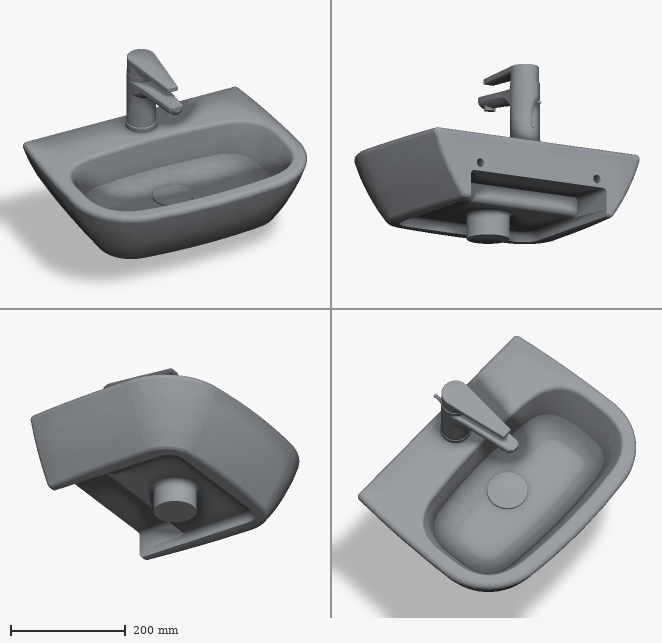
import cadquery as cq
import math


basin_height = 119.0
front_x = 341.0
half_width = 226.0
side_end_x = 216.0
side_radius = 1919.0
corner_radius = 118.3
middle_inset = 23.0
bottom_inset = 60.3
shell_round = 8.0

floor_z = -82.0
bowl_middle_z = -58.0
bowl_blend_z = -72.5
rear_sag = 7.5
front_sag = 6.5
lip_round = 6.5

hollow_half_width = 139.3
hollow_front_x = 254.5
hollow_ceiling_z = -101.5
hollow_corner_radius = 29.5
notch_depth = 89.3
notch_top_z = -69.0
notch_corner_round = 6.5
notch_draft = 3.0
notch_edge_round = 10.5
outlet_diameter = 75.0
outlet_end_z = -145.0
outlet_round = 7.0
bolt_diameter = 15.0
bolt_depth = 22.5
bolt_y = 120.0
bolt_z = -55.0

drain_x = 165.5
drain_ring_diameter = 71.5
drain_ring_height = 4.0
drain_ring_round = 2.0
plug_diameter = 60.0
plug_crown = 2.2

tap_x = 45.5
base_diameter = 55.0
base_height = 9.5
base_chamfer = 1.5
column_diameter = 52.0
column_top_z = 110.2
cap_diameter = 50.0
tap_top_z = 140.0
lever_thickness = 10.5
lever_tip_x = 165.0
lever_tip_half_width = 10.3
lever_round = 2.5
spout_edge = 2.2
aerator_x = 160.5
aerator_diameter = 20.0
aerator_end_z = 83.0
aerator_length = 10.0
aerator_tilt = 4.7
pull_tip_x = -3.5
pull_tip_z = 68.0
pull_end_z = 27.0
pull_width = 6.0
pull_thickness = 2.5
pull_knob_diameter = 5.5


def basin_outline(z, inset):
    """D-shaped outline at height z: the rim outline moved inward, closed along the wall face."""
    corner_y = half_width - corner_radius
    reach = front_x - side_end_x
    front_radius = (reach**2 + corner_y**2 - corner_radius**2) / (2 * (reach - corner_radius))
    front_center_x = front_x - front_radius
    corner_end = math.atan2(corner_y, side_end_x - front_center_x)
    corner_middle = (corner_end + math.pi / 2) / 2

    side_r = side_radius - inset
    corner_r = corner_radius - inset
    side_center_y = half_width - side_radius

    def side_y(x):
        return side_center_y + math.sqrt(side_r**2 - (side_end_x - x) ** 2)

    def corner_point(angle):
        return side_end_x + corner_r * math.cos(angle), corner_y + corner_r * math.sin(angle)

    rear = (0, side_y(0))
    side_middle = (side_end_x / 2, side_y(side_end_x / 2))
    side_end = (side_end_x, half_width - inset)
    bend = corner_point(corner_middle)
    front_start = corner_point(corner_end)

    def mirrored(point):
        return point[0], -point[1]

    return (
        cq.Workplane("XY", origin=(0, 0, z))
        .moveTo(*rear)
        .threePointArc(side_middle, side_end)
        .threePointArc(bend, front_start)
        .threePointArc((front_x - inset, 0), mirrored(front_start))
        .threePointArc(mirrored(bend), mirrored(side_end))
        .threePointArc(mirrored(side_middle), mirrored(rear))
        .close()
        .wires()
        .val()
    )


def make_shell():
    sections = [
        basin_outline(0, 0),
        basin_outline(-basin_height / 2, middle_inset),
        basin_outline(-basin_height, bottom_inset),
    ]
    shell = cq.Workplane(cq.Solid.makeLoft(sections))
    return shell.edges("<X or >Z or <Z").fillet(shell_round)


def bowl_section(z, rear_x, front_x, half_width, rear_y, front_y, flat_start_x, flat_end_x):
    """Closed section of the bowl: bulged rear and front edges, short flat ends, blended corners.

    rear_y and front_y are where the bulged edges run into the corners.
    """
    rear_slope = math.tan(2 * math.atan(rear_sag / rear_y))
    front_slope = math.tan(2 * math.atan(front_sag / front_y))
    rear_corner_x = rear_x + rear_sag
    front_corner_x = front_x - front_sag
    return (
        cq.Workplane("XY", origin=(0, 0, z))
        .moveTo(rear_corner_x, -rear_y)
        .threePointArc((rear_x, 0), (rear_corner_x, rear_y))
        .spline([(flat_start_x, half_width)], tangents=[(rear_slope, 1), (1, 0)], includeCurrent=True)
        .lineTo(flat_end_x, half_width)
        .spline([(front_corner_x, front_y)], tangents=[(1, 0), (front_slope, -1)], includeCurrent=True)
        .threePointArc((front_x, 0), (front_corner_x, -front_y))
        .spline([(flat_end_x, -half_width)], tangents=[(-front_slope, -1), (-1, 0)], includeCurrent=True)
        .lineTo(flat_start_x, -half_width)
        .spline([(rear_corner_x, -rear_y)], tangents=[(-1, 0), (-rear_slope, 1)], includeCurrent=True)
        .close()
        .wires()
        .val()
    )


def make_bowl():
    rim = bowl_section(0, 96.0, 311.0, 196.5, 126.0, 114.3, 179.5, 214.0)
    middle = bowl_section(bowl_middle_z, 102.5, 280.0, 166.0, 115.5, 112.5, 186.0, 211.0)
    blend = bowl_section(bowl_blend_z, 116.5, 265.0, 152.5, 114.0, 110.5, 186.0, 211.0)
    floor = bowl_section(floor_z, 141.0, 245.5, 135.0, 111.0, 108.5, 186.0, 211.0)
    walls = cq.Workplane(cq.Solid.makeLoft([rim, middle], True))
    bottom = cq.Workplane(cq.Solid.makeLoft([middle, blend, floor]))
    return walls.union(bottom)


def make_underside_hollow():
    """Shallow hollow under the bowl, joined to a taller notch that opens through the wall face."""
    ceiling = (
        cq.Workplane("XY", origin=(0, 0, hollow_ceiling_z))
        .rect(2 * hollow_front_x, 2 * hollow_half_width)
        .extrude(-basin_height - hollow_ceiling_z)
        .edges("|Z and >X")
        .fillet(hollow_corner_radius)
        .faces(">Z")
        .edges(">X")
        .fillet(shell_round)
    )
    notch = (
        cq.Workplane("XY", origin=(0, 0, notch_top_z))
        .polyline([
            (0, hollow_half_width),
            (notch_depth, hollow_half_width - notch_draft),
            (notch_depth, -hollow_half_width + notch_draft),
            (0, -hollow_half_width),
        ])
        .close()
        .extrude(-basin_height - notch_top_z)
        .faces(">Z")
        .edges(">Y or <Y")
        .fillet(notch_corner_round)
    )
    return ceiling.union(notch)


def make_basin():
    basin = make_shell().cut(make_bowl())
    rim_face = basin.faces(">Z").val()
    basin = basin.newObject(rim_face.innerWires()).edges().fillet(lip_round)
    basin = basin.cut(make_underside_hollow())
    inner_edge = cq.selectors.NearestToPointSelector((notch_depth, 0, hollow_ceiling_z))
    basin = basin.edges(inner_edge).fillet(notch_edge_round)
    outlet = (
        cq.Workplane("XY", origin=(drain_x, 0, outlet_end_z))
        .circle(outlet_diameter / 2)
        .extrude(hollow_ceiling_z - outlet_end_z)
    )
    basin = basin.union(outlet)
    outlet_root = cq.selectors.NearestToPointSelector((drain_x, 0, hollow_ceiling_z))
    basin = basin.edges("%CIRCLE").edges(outlet_root).fillet(outlet_round)
    bolt_holes = (
        cq.Workplane("YZ")
        .pushPoints([(bolt_y, bolt_z), (-bolt_y, bolt_z)])
        .circle(bolt_diameter / 2)
        .extrude(bolt_depth)
    )
    ring_seat = (
        cq.Workplane("XY", origin=(drain_x, 0, floor_z))
        .circle(drain_ring_diameter / 2)
        .extrude(drain_ring_height)
    )
    return basin.cut(bolt_holes).cut(ring_seat)


def make_drain_ring():
    return (
        cq.Workplane("XY", origin=(drain_x, 0, floor_z))
        .circle(drain_ring_diameter / 2)
        .circle(plug_diameter / 2)
        .extrude(drain_ring_height)
        .faces(">Z")
        .edges(cq.selectors.RadiusNthSelector(1))
        .fillet(drain_ring_round)
    )


def make_plug():
    """Disc with a domed top, revolved about the drain axis."""
    radius = plug_diameter / 2
    sphere_radius = (radius**2 + plug_crown**2) / (2 * plug_crown)
    top = drain_ring_height + plug_crown
    middle = (radius / 2, top - sphere_radius + math.sqrt(sphere_radius**2 - radius**2 / 4))
    return (
        cq.Workplane("XZ", origin=(drain_x, 0, floor_z))
        .lineTo(radius, 0)
        .lineTo(radius, drain_ring_height)
        .threePointArc(middle, (0, top))
        .close()
        .revolve(360, (0, 0), (0, 1))
    )


def make_tap_base():
    return (
        cq.Workplane("XY", origin=(tap_x, 0, 0))
        .circle(base_diameter / 2)
        .extrude(base_height)
        .faces(">Z")
        .edges()
        .chamfer(base_chamfer)
    )


def make_column():
    return (
        cq.Workplane("XY", origin=(tap_x, 0, base_height))
        .circle(column_diameter / 2)
        .extrude(column_top_z - base_height)
    )


def spout_section(x, half_width, top_z, shoulder_z, bottom_z):
    """Upright section: flat top with bevelled edges, straight sides and an arched bottom."""
    return (
        cq.Workplane("YZ", origin=(x, 0, 0))
        .moveTo(-half_width, shoulder_z)
        .lineTo(-half_width, top_z - spout_edge)
        .lineTo(-half_width + spout_edge, top_z)
        .lineTo(half_width - spout_edge, top_z)
        .lineTo(half_width, top_z - spout_edge)
        .lineTo(half_width, shoulder_z)
        .threePointArc((0, bottom_z), (-half_width, shoulder_z))
        .close()
        .wires()
        .val()
    )


def make_spout():
    sections = [
        spout_section(tap_x, 26.0, 99.0, 67.0, 51.5),
        spout_section(85.0, 20.5, 102.0, 91.0, 78.0),
        spout_section(177.5, 13.5, 110.0, 101.5, 89.5),
        spout_section(185.0, 7.5, 110.2, 105.5, 99.0),
    ]
    return cq.Workplane(cq.Solid.makeLoft(sections, True))


def make_aerator():
    return (
        cq.Workplane("XY", origin=(aerator_x, 0, aerator_end_z))
        .transformed(rotate=(0, -aerator_tilt, 0))
        .circle(aerator_diameter / 2)
        .extrude(aerator_length)
    )


def make_lever():
    """Round cap with a flat, tapering handle."""
    cap = (
        cq.Workplane("XY", origin=(tap_x, 0, column_top_z))
        .circle(cap_diameter / 2)
        .extrude(tap_top_z - column_top_z)
    )
    cap_radius = cap_diameter / 2
    run = lever_tip_x - tap_x
    tip_distance = math.hypot(run, lever_tip_half_width)
    tangent_angle = math.atan2(lever_tip_half_width, run) + math.acos(cap_radius / tip_distance)
    root_x = tap_x + cap_radius * math.cos(tangent_angle)
    root_y = cap_radius * math.sin(tangent_angle)
    handle = (
        cq.Workplane("XY", origin=(0, 0, tap_top_z))
        .polyline([
            (root_x, root_y),
            (lever_tip_x, lever_tip_half_width),
            (lever_tip_x, -lever_tip_half_width),
            (root_x, -root_y),
        ])
        .close()
        .extrude(-lever_thickness)
    )
    handle = handle.faces("<Z").edges("not <X").fillet(lever_round)
    lever = cap.union(handle)
    return lever.faces(">Z").edges().fillet(lever_round)


def make_pull():
    """Thin curved pull behind the column, with a round knob along its free edge."""
    column_rear_x = tap_x - column_diameter / 2
    path = (
        cq.Workplane("XZ")
        .moveTo(pull_tip_x + pull_knob_diameter / 2, pull_tip_z)
        .spline([(column_rear_x, pull_end_z)], tangents=[(1, 0), (0, -1)], includeCurrent=True)
    )
    strip = (
        cq.Workplane("YZ", origin=(pull_tip_x + pull_knob_diameter / 2, 0, pull_tip_z))
        .rect(pull_width, pull_thickness)
        .sweep(path)
    )
    knob = (
        cq.Workplane("XZ", origin=(0, pull_width / 2, 0))
        .center(pull_tip_x + pull_knob_diameter / 2, pull_tip_z)
        .circle(pull_knob_diameter / 2)
        .extrude(pull_width)
    )
    return strip.union(knob).cut(make_column())


basin = make_basin()
drain_ring = make_drain_ring()
plug = make_plug()
tap_base = make_tap_base()
aerator = make_aerator()
tap_body = make_column().union(make_spout()).cut(aerator)
lever = make_lever()
pull = make_pull()

result = cq.Compound.makeCompound([
    basin.val(),
    drain_ring.val(),
    plug.val(),
    tap_base.val(),
    tap_body.val(),
    aerator.val(),
    lever.val(),
    pull.val(),
])